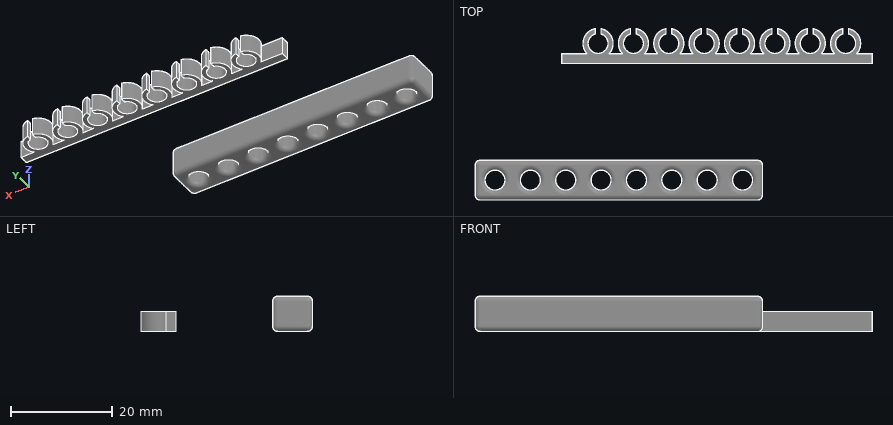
import cadquery as cq

hole_count = 8
pitch = 7.0
bore_diameter = 3.9
row_length = (hole_count - 1) * pitch

wall = 2.0
block_width = bore_diameter + 2 * wall
block_height = 7.0
block_length = row_length + block_width
edge_radius = 1.0
rim_clearance = 0.01
rim_radius = wall - edge_radius - rim_clearance

ring_outer_diameter = 6.0
slot_width = 1.1
strip_height = 4.0
bar_thickness = 2.0
bar_front_y = 23.05
bar_left_margin = 7.2
bar_right_margin = 5.31
first_ring_x = 20.4
ring_overlap = 1.0
ring_y = bar_front_y + bar_thickness + ring_outer_diameter / 2 - ring_overlap
bar_length = bar_left_margin + row_length + bar_right_margin


def row_points(first_x, y):
    """Axis positions of a row of holes or rings along X."""
    return [(first_x + i * pitch, y) for i in range(hole_count)]


def make_block():
    """Bar with through holes; every outer edge and hole rim is rounded."""
    outline = (
        cq.Workplane("XY")
        .center(row_length / 2, 0)
        .rect(block_length, block_width)
        .extrude(block_height)
    )
    holes = (
        cq.Workplane("XY")
        .pushPoints(row_points(0, 0))
        .circle(bore_diameter / 2)
        .extrude(block_height)
    )
    rounded = outline.edges().fillet(edge_radius)
    return rounded.cut(holes).faces("<Z or >Z").edges("%CIRCLE").fillet(rim_radius)


def make_clip_strip():
    """Flat bar with a row of rings along its back, each slotted open toward +Y."""
    ring_points = row_points(first_ring_x, ring_y)
    bar = (
        cq.Workplane("XY")
        .moveTo(first_ring_x - bar_left_margin, bar_front_y)
        .rect(bar_length, bar_thickness, centered=False)
        .extrude(strip_height)
    )
    rings = (
        cq.Workplane("XY")
        .pushPoints(ring_points)
        .circle(ring_outer_diameter / 2)
        .extrude(strip_height)
    )
    bores = (
        cq.Workplane("XY")
        .pushPoints(ring_points)
        .circle(bore_diameter / 2)
        .extrude(strip_height)
    )
    slot_length = ring_outer_diameter
    slots = (
        cq.Workplane("XY")
        .pushPoints(row_points(first_ring_x, ring_y + slot_length / 2))
        .rect(slot_width, slot_length)
        .extrude(strip_height)
    )
    return bar.union(rings).cut(bores).cut(slots)


block = make_block()
clip_strip = make_clip_strip()

result = cq.Compound.makeCompound([block.val(), clip_strip.val()])